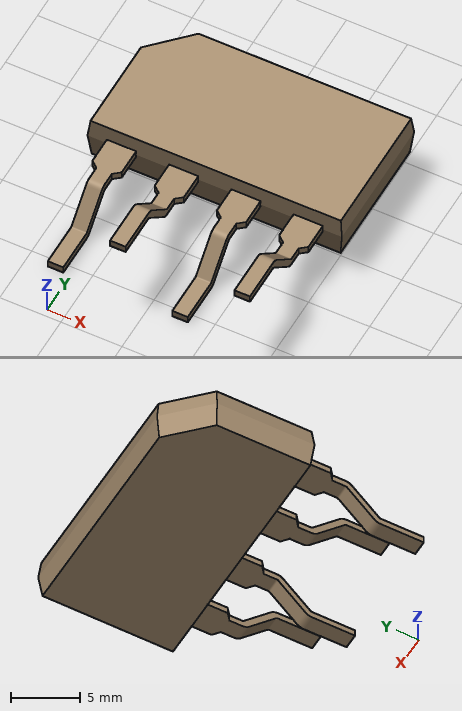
import cadquery as cq
import math

body_width = 20.8
body_depth = 11.3
corner_cut = 3.2
height_above_parting = 1.55
height_below_parting = 2.15
draft_angle = 6.0
parting_z = -0.05

lead_count = 4
lead_pitch = 5.09
lead_thickness = 0.6
lead_spread = 5.09
lead_reach = 21.55 - body_depth
lead_anchor = 1.08

tab_width = 2.4
tab_length = 2.22
shoulder_length = 0.45
pin_width = 1.27

bend_start = 3.73
bend_angle = math.radians(45)
bend_radius = 0.52
bend_run = bend_radius * math.sin(bend_angle)
bend_rise = bend_radius * (1 - math.cos(bend_angle))
slope_rise = lead_spread / 2 - 2 * bend_rise
slope_run = slope_rise / math.tan(bend_angle)
tip_length = lead_reach - bend_start - 2 * bend_run - slope_run


def body_outline():
    """Rectangle on the parting plane, front edge at y = 0, back left corner cut off."""
    half_width = body_width / 2
    return (
        cq.Workplane("XY", origin=(0, 0, parting_z))
        .moveTo(-half_width, 0)
        .lineTo(half_width, 0)
        .lineTo(half_width, body_depth)
        .lineTo(-half_width + corner_cut, body_depth)
        .lineTo(-half_width, body_depth - corner_cut)
        .close()
    )


def make_body():
    upper = body_outline().extrude(height_above_parting, taper=draft_angle)
    lower = body_outline().extrude(-height_below_parting, taper=draft_angle)
    return upper.union(lower)


def make_tab():
    """Wide flat root of a lead, narrowing to the pin width at its shoulders."""
    half_tab = tab_width / 2
    half_pin = pin_width / 2
    shoulder_end = tab_length + shoulder_length
    return (
        cq.Workplane("XY", origin=(0, 0, -lead_thickness / 2))
        .moveTo(-half_tab, lead_anchor)
        .lineTo(-half_tab, -tab_length)
        .lineTo(-half_pin, -shoulder_end)
        .lineTo(half_pin, -shoulder_end)
        .lineTo(half_tab, -tab_length)
        .lineTo(half_tab, lead_anchor)
        .close()
        .extrude(lead_thickness)
    )


def make_pin(direction):
    """Narrow part of a lead, bent up (direction 1) or down (direction -1)."""
    path = (
        cq.Workplane("YZ")
        .moveTo(-tab_length, 0)
        .lineTo(-bend_start, 0)
        .tangentArcPoint((-bend_run, direction * bend_rise))
        .line(-slope_run, direction * slope_rise)
        .tangentArcPoint((-bend_run, direction * bend_rise))
        .line(-tip_length, 0)
    )
    section = cq.Workplane("XZ", origin=(0, -tab_length, 0)).rect(pin_width, lead_thickness)
    return section.sweep(path)


result = make_body()
for index in range(lead_count):
    lead_x = (index - (lead_count - 1) / 2) * lead_pitch
    bend_direction = -1 if index % 2 == 0 else 1
    lead = make_tab().union(make_pin(bend_direction))
    result = result.union(lead.translate((lead_x, 0, 0)))